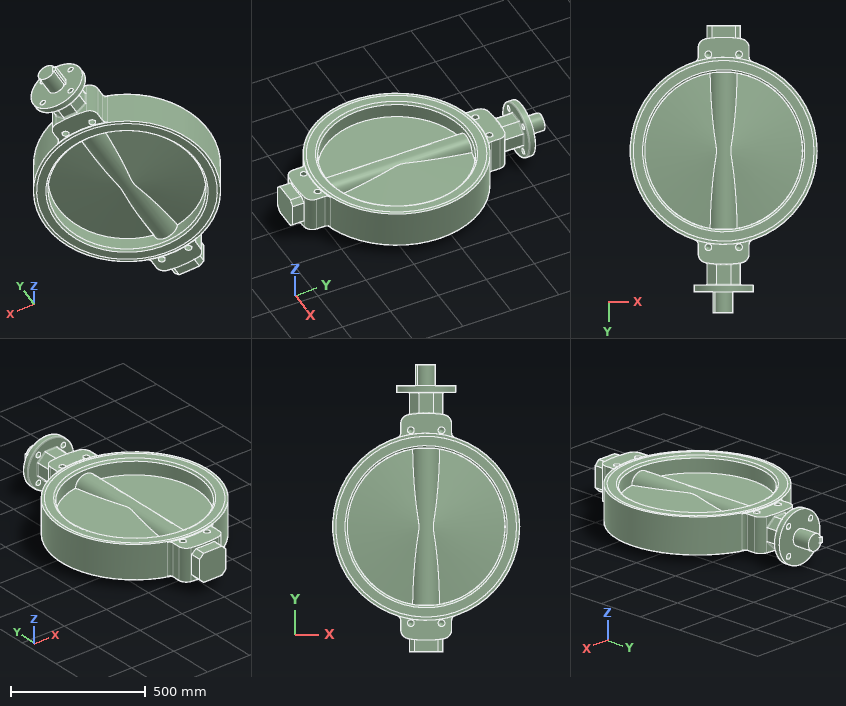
import cadquery as cq
import math


ring_radius = 347.5
ring_height = 152.0
liner_radius = 335.5
bore_radius = 293.0
lead_in_width = 8.0
lead_in_depth = 9.5

lug_width = 190.0
lug_height = 145.0
lug_end_radius = 421.5
lug_corner_radius = 35.0
lug_root_fillet = 18.0

bolt_hole_radius = 12.5
bolt_hole_depth = 40.0
bolt_hole_spacing = 114.0
bolt_hole_y = 358.0
drill_point_angle = 118.0

neck_width = 125.0
neck_corner_chamfer = 35.0
neck_end_fillet = 3.0
foot_corner_chamfer = 19.0
foot_end_y = -464.5
flange_radius = 110.0
flange_bottom_y = 497.5
flange_thickness = 26.0
flange_top_y = flange_bottom_y + flange_thickness
flange_hole_count = 4
flange_hole_radius = 11.0
flange_hole_circle_radius = 84.0

boss_radius = 51.0
boss_half_length = 290.0
disc_center_half_thickness = 47.0
disc_edge_half_thickness = 8.0

overall_length = 1066.0
shaft_radius = 34.5
shaft_top_y = foot_end_y + overall_length
shaft_bottom_y = -400.0
key_width = 22.0
key_height = 14.0
key_projection = 6.0

SIDES = (-1, 1)


def round_bar(radius, start_y, end_y):
    """Round bar on the shaft axis between two Y positions."""
    return cq.Workplane("XZ", origin=(0, start_y, 0)).circle(radius).extrude(start_y - end_y)


def octagonal_bar(corner_chamfer, start_y, end_y):
    """Square bar on the shaft axis with its four long corners cut off."""
    square = cq.Workplane("XZ", origin=(0, start_y, 0)).rect(neck_width, neck_width)
    return square.extrude(start_y - end_y).edges("|Y").chamfer(corner_chamfer)


def round_slab(radius, height):
    """Round slab about the bore axis, centred on Z = 0."""
    return cq.Workplane("XY").circle(radius).extrude(height / 2, both=True)


def revolve_about_bore(points):
    """Turn a closed (radius, Z) outline about the bore axis."""
    return cq.Workplane("XZ").polyline(points).close().revolve(360, (0, 0), (0, 1))


def make_lugs():
    """Strap across the ring whose arc-shaped, rounded ends form both lugs."""
    strap = cq.Workplane("XY").box(lug_width, 2 * lug_end_radius, lug_height)
    strap = strap.intersect(round_slab(lug_end_radius, lug_height))
    return strap.edges("|Z").fillet(lug_corner_radius)


def make_lug_root_fillets():
    """Concave fillets where the lug sides meet the round ring."""
    lug_side_x = lug_width / 2
    center_distance = ring_radius + lug_root_fillet
    center_x = lug_side_x + lug_root_fillet
    center_y = math.sqrt(center_distance**2 - center_x**2)
    ring_touch_scale = ring_radius / center_distance
    touch_x = center_x * ring_touch_scale
    touch_y = center_y * ring_touch_scale
    filler = (
        cq.Workplane("XY")
        .moveTo(lug_side_x, center_y)
        .lineTo(center_x, center_y)
        .lineTo(touch_x, touch_y)
        .lineTo(lug_side_x, touch_y - lug_root_fillet)
        .close()
        .extrude(lug_height / 2, both=True)
    )
    fillet_cylinder = round_slab(lug_root_fillet, lug_height).translate((center_x, center_y, 0))
    corner = filler.cut(fillet_cylinder)
    upper_pair = corner.union(corner.mirror("YZ"))
    return upper_pair.union(upper_pair.mirror("XZ"))


def make_bolt_hole():
    """Cutter for one blind hole in the upper lug face, ending in a drill point."""
    top_z = ring_height / 2
    wall_bottom_z = lug_height / 2 - bolt_hole_depth
    tip_depth = bolt_hole_radius / math.tan(math.radians(drill_point_angle / 2))
    return revolve_about_bore([
        (0, top_z),
        (bolt_hole_radius, top_z),
        (bolt_hole_radius, wall_bottom_z),
        (0, wall_bottom_z - tip_depth),
    ])


def make_flange_holes():
    """Cutters for the through holes of the mounting flange."""
    pattern = cq.Workplane("XZ", origin=(0, flange_top_y, 0)).polarArray(
        flange_hole_circle_radius, 180 / flange_hole_count, 360, flange_hole_count
    )
    return pattern.circle(flange_hole_radius).extrude(flange_thickness)


def neck_edges(start_y, end_y):
    """Selector for the edges around the neck between two Y positions."""
    reach = neck_width / 2 + 1
    return cq.selectors.BoxSelector((-reach, start_y, -reach), (reach, end_y, reach))


def make_housing():
    body = round_slab(ring_radius, ring_height)
    body = body.union(make_lugs()).union(make_lug_root_fillets())

    neck = octagonal_bar(neck_corner_chamfer, bore_radius, flange_bottom_y)
    flange = round_bar(flange_radius, flange_bottom_y, flange_top_y)
    foot = octagonal_bar(foot_corner_chamfer, foot_end_y, -bore_radius)
    body = body.union(neck.union(flange)).union(foot)

    lug_end_sagitta = lug_end_radius - math.sqrt(lug_end_radius**2 - (neck_width / 2) ** 2)
    flange_joint = neck_edges(flange_bottom_y - 1, flange_bottom_y + 1)
    lug_joint = neck_edges(lug_end_radius - lug_end_sagitta - 1, lug_end_radius + 1)
    body = body.edges(flange_joint + lug_joint).fillet(neck_end_fillet)

    body = body.cut(round_slab(liner_radius, ring_height))
    for side_x in SIDES:
        for side_y in SIDES:
            hole = make_bolt_hole().translate((side_x * bolt_hole_spacing / 2, side_y * bolt_hole_y, 0))
            body = body.cut(hole).cut(hole.mirror("XY"))
    return body.cut(make_flange_holes()).cut(make_shaft_bar())


def make_liner():
    """Ring lining the housing, with a conical lead-in at both ends of the bore."""
    face_z = ring_height / 2
    lead_in_radius = bore_radius + lead_in_width
    lead_in_z = face_z - lead_in_depth
    ring = revolve_about_bore([
        (liner_radius, -face_z),
        (liner_radius, face_z),
        (lead_in_radius, face_z),
        (bore_radius, lead_in_z),
        (bore_radius, -lead_in_z),
        (lead_in_radius, -face_z),
    ])
    return ring.cut(make_shaft_bar())


def make_disc():
    plate = revolve_about_bore([
        (0, -disc_center_half_thickness),
        (bore_radius, -disc_edge_half_thickness),
        (bore_radius, disc_edge_half_thickness),
        (0, disc_center_half_thickness),
    ])
    boss = round_bar(boss_radius, -boss_half_length, boss_half_length)
    boss = boss.intersect(round_slab(bore_radius, ring_height))
    return plate.union(boss).cut(make_shaft_bar())


def make_shaft_bar():
    """Full round shaft before its keyway is cut."""
    return round_bar(shaft_radius, shaft_bottom_y, shaft_top_y)


def make_key():
    """Key on the -X side of the shaft, from the flange to the shaft end."""
    key_length = shaft_top_y - flange_top_y
    key = cq.Workplane("XY").box(key_height, key_length, key_width, centered=(False, False, True))
    return key.translate((-shaft_radius - key_projection, flange_top_y, 0))


housing = make_housing()
liner = make_liner()
disc = make_disc()
key = make_key()
shaft = make_shaft_bar().cut(key)

result = cq.Compound.makeCompound([housing.val(), liner.val(), disc.val(), shaft.val(), key.val()])